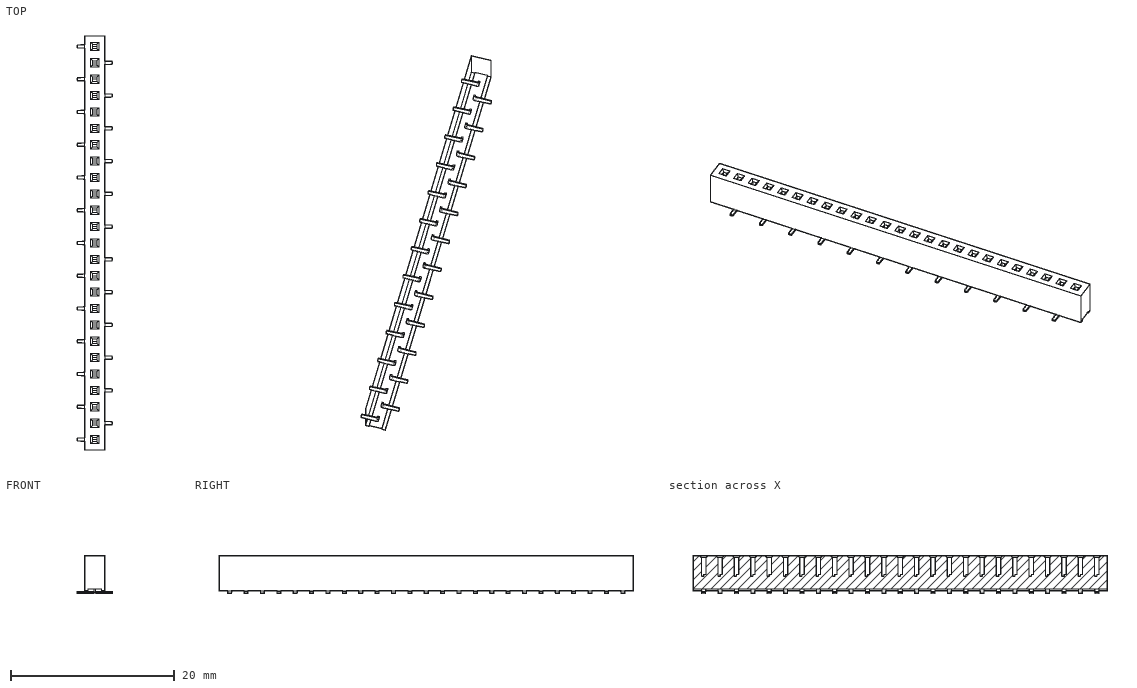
import cadquery as cq

pin_count = 25
pitch = 2.0
end_margin = 1.3
housing_width = 2.5
overall_width = 4.3
overall_height = 4.6
housing_lift = 0.3

channel_width = 1.6
channel_depth = 0.2

socket_mouth = 1.0
socket_bore = 0.5
socket_funnel_depth = 0.25
socket_depth = 2.5
floor_step = 0.2

strip_thickness = 0.2
stem_width = 0.5
leg_tip_width = 0.4
leg_tip_bulge = 0.05
bend_radius = 0.3
stem_embed = 0.2

housing_length = (pin_count - 1) * pitch + 2 * end_margin
channel_top = housing_lift + channel_depth
stem_top = channel_top + stem_embed
first_pin_y = (pin_count - 1) * pitch / 2
pin_positions = [first_pin_y - index * pitch for index in range(pin_count)]


def make_block(width, length, bottom, height):
    """Rectangular block centred on the Z axis, standing on the given level."""
    return (
        cq.Workplane("XY")
        .workplane(offset=bottom)
        .rect(width, length)
        .extrude(height)
    )


def make_housing():
    """Long block with a channel running the full length of its underside."""
    block = make_block(housing_width, housing_length, housing_lift, overall_height - housing_lift)
    channel = make_block(channel_width, housing_length, housing_lift, channel_depth)
    return block.cut(channel)


def make_socket():
    """Cutting tool for a blind square socket with a tapered mouth and a stepped floor."""
    funnel = (
        cq.Workplane("XY")
        .workplane(offset=overall_height)
        .rect(socket_mouth, socket_mouth)
        .workplane(offset=-socket_funnel_depth)
        .rect(socket_bore, socket_bore)
        .loft(combine=True)
    )
    floor_level = overall_height - socket_depth
    bore = make_block(socket_bore, socket_bore, floor_level, socket_depth - socket_funnel_depth)
    half_bore = socket_bore / 2
    raised_floor = make_block(socket_bore, half_bore, floor_level, floor_step)
    raised_floor = raised_floor.translate((0, -half_bore / 2, 0))
    return funnel.union(bore.cut(raised_floor))


def make_contact():
    """Stem at the origin, bent into a flat leg that tapers to a rounded tip at -X."""
    stem_face = strip_thickness / 2
    tip_x = -overall_width / 2
    side_shape = (
        cq.Workplane("XZ")
        .moveTo(tip_x, 0)
        .lineTo(stem_face - bend_radius, 0)
        .radiusArc((stem_face, bend_radius), -bend_radius)
        .lineTo(stem_face, stem_top)
        .lineTo(-stem_face, stem_top)
        .lineTo(-stem_face, strip_thickness)
        .lineTo(tip_x, strip_thickness)
        .close()
        .extrude(stem_width / 2, both=True)
    )
    arc_x = tip_x + leg_tip_bulge
    plan_shape = (
        cq.Workplane("XY")
        .moveTo(stem_face, stem_width / 2)
        .lineTo(arc_x, leg_tip_width / 2)
        .threePointArc((tip_x, 0), (arc_x, -leg_tip_width / 2))
        .lineTo(stem_face, -stem_width / 2)
        .close()
        .extrude(stem_top)
    )
    return side_shape.intersect(plan_shape)


def make_header():
    """Housing with its sockets and contacts, the legs leaving on alternate sides."""
    left_contact = make_contact().val()
    right_contact = left_contact.mirror("YZ")
    socket = make_socket().val()
    sockets = []
    contacts = []
    for index, y in enumerate(pin_positions):
        place = cq.Vector(0, y, 0)
        contact = left_contact if index % 2 == 0 else right_contact
        sockets.append(socket.translate(place))
        contacts.append(contact.translate(place))
    housing = make_housing().val().cut(*sockets)
    return cq.Workplane(obj=housing.fuse(*contacts).Solids()[0])


result = make_header()